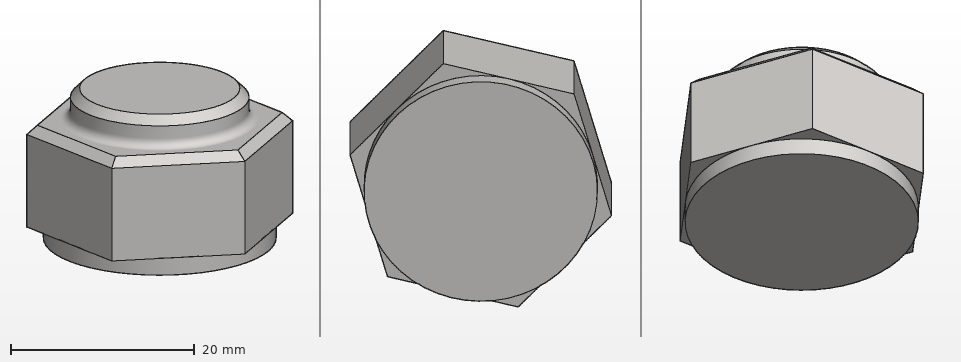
import cadquery as cq
import math

width_x = 28.9
hex_turn = -10.0
corner_radius = width_x / 2 / math.cos(math.radians(hex_turn))
flat_radius = corner_radius * math.cos(math.radians(30))

total_height = 17.2
edge_size = 1.0
base_height = 2.0
boss_height = 3.52
hex_top = total_height - boss_height

base_radius = flat_radius
boss_radius = 9.75


def hex_body():
    """Hexagonal prism with its top edges chamfered."""
    return (
        cq.Workplane("XY")
        .workplane(offset=base_height)
        .polygon(6, 2 * corner_radius)
        .extrude(hex_top - base_height)
        .faces(">Z")
        .chamfer(edge_size)
        .rotate((0, 0, 0), (0, 0, 1), hex_turn)
    )


def base_disc():
    """Plain round foot below the hexagon."""
    return cq.Workplane("XY").circle(base_radius).extrude(base_height)


def top_boss():
    """Round boss with a chamfered rim and a concave fillet at its root."""
    root_radius = boss_radius + edge_size
    root_top = hex_top + edge_size
    arc_reach = edge_size * math.sqrt(0.5)
    return (
        cq.Workplane("XZ")
        .moveTo(0, hex_top)
        .lineTo(root_radius, hex_top)
        .threePointArc(
            (root_radius - arc_reach, root_top - arc_reach),
            (boss_radius, root_top),
        )
        .lineTo(boss_radius, total_height - edge_size)
        .lineTo(boss_radius - edge_size, total_height)
        .lineTo(0, total_height)
        .close()
        .revolve(360, (0, 0, 0), (0, 1, 0))
    )


result = hex_body().union(base_disc()).union(top_boss())